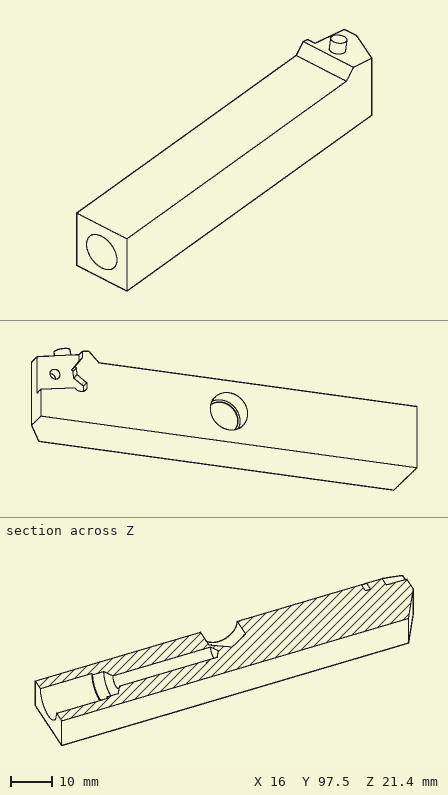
import cadquery as cq
import math

LENGTH = 97.5
SHANK = 16.0
MID = SHANK / 2

TILT = 10.0
TIP_HEIGHT = 16.5
CREST_SETBACK = 12.4
CREST_HEIGHT = TIP_HEIGHT + CREST_SETBACK * math.tan(math.radians(TILT))
CUT_TOP = CREST_HEIGHT + 1.0
SHOULDER_SETBACK = CREST_SETBACK + CREST_HEIGHT - SHANK

TIP_WIDTH = 6.5
CORNER_ANGLE = 30.0
CORNER_SETBACK = (SHANK - TIP_WIDTH) * math.tan(math.radians(CORNER_ANGLE))

POCKET_DEPTH_TIP = 2.6
POCKET_DEPTH_REAR = 2.3
POCKET_REAR = 11.9
SEAT_TIP_HEIGHT = 7.0
SEAT_LENGTH = 8.8
SEAT_END_HEIGHT = SEAT_TIP_HEIGHT + SEAT_LENGTH * math.tan(math.radians(TILT))
RELIEF_SETBACK = 10.6
RELIEF_HEIGHT = 7.9
RELIEF_END_HEIGHT = 8.8
POCKET_TOP_SETBACK = 10.7
POCKET_WALL = [
    (POCKET_REAR, 10.3),
    (11.4, 10.6),
    (9.4, 12.1),
    (9.2, 13.7),
    (8.9, 14.1),
    (POCKET_TOP_SETBACK, 16.7),
    (POCKET_TOP_SETBACK, CUT_TOP),
]

PIN_SETBACK = 4.6
PIN_HEIGHT = 12.5
PIN_DIAMETER = 2.5
PIN_DEPTH = 2.9

SCREW_DIAMETER = 4.0
SCREW_SETBACK = 9.0
SCREW_HEIGHT = 3.0
SCREW_ROOT = 1.95

THREAD_DIAMETER = 9.7
DRILL_DIAMETER = 8.6
POINT_ANGLE = 118.0
SIDE_THREAD_DEPTH = 5.2
REAR_THREAD_DEPTH = 13.65
REAR_DRILL_DEPTH = 16.6
CHANNEL_DIAMETER = 3.9
CHANNEL_DEPTH = 43.9


def along_y(setback):
    """Y position at a distance behind the tip."""
    return LENGTH - setback


def point_length(diameter):
    """Height of the conical point left by a drill."""
    return diameter / 2 / math.tan(math.radians(POINT_ANGLE / 2))


def drilled_hole(start, direction, diameter, depth):
    """Cylinder of the given depth, ending in a drill point."""
    cylinder = cq.Solid.makeCylinder(diameter / 2, depth, start, direction)
    point = cq.Solid.makeCone(
        diameter / 2, 0, point_length(diameter), start + direction * depth, direction
    )
    return cq.Workplane(cylinder).union(cq.Workplane(point))


def make_body():
    profile = [
        (0, 0),
        (LENGTH, 0),
        (LENGTH, TIP_HEIGHT),
        (along_y(CREST_SETBACK), CREST_HEIGHT),
        (along_y(SHOULDER_SETBACK), SHANK),
        (0, SHANK),
    ]
    body = cq.Workplane("YZ").polyline(profile).close().extrude(SHANK)
    corner = [(TIP_WIDTH, LENGTH), (SHANK, LENGTH), (SHANK, along_y(CORNER_SETBACK))]
    corner_cut = cq.Workplane("XY").polyline(corner).close().extrude(CUT_TOP)
    return body.cut(corner_cut)


def make_pocket():
    """Pocket outline, limited in depth by a floor that gets shallower towards the rear."""
    outline = (
        cq.Workplane("YZ")
        .moveTo(LENGTH, SEAT_TIP_HEIGHT)
        .lineTo(along_y(SEAT_LENGTH), SEAT_END_HEIGHT)
        .threePointArc(
            (along_y(RELIEF_SETBACK), RELIEF_HEIGHT),
            (along_y(POCKET_REAR), RELIEF_END_HEIGHT),
        )
    )
    for setback, height in POCKET_WALL:
        outline = outline.lineTo(along_y(setback), height)
    outline = outline.lineTo(LENGTH, CUT_TOP).close().extrude(POCKET_DEPTH_TIP)
    depth_limit = (
        cq.Workplane("XY")
        .moveTo(0, LENGTH)
        .lineTo(POCKET_DEPTH_TIP, LENGTH)
        .lineTo(POCKET_DEPTH_REAR, along_y(POCKET_REAR))
        .lineTo(0, along_y(POCKET_REAR))
        .close()
        .extrude(CUT_TOP)
    )
    return outline.intersect(depth_limit)


def make_pin_hole():
    start = cq.Vector(0, along_y(PIN_SETBACK), PIN_HEIGHT)
    return drilled_hole(start, cq.Vector(1, 0, 0), PIN_DIAMETER, POCKET_DEPTH_TIP + PIN_DEPTH)


def make_screw():
    tilt = math.radians(TILT)
    axis = cq.Vector(0, math.sin(tilt), math.cos(tilt))
    base = cq.Vector(MID, along_y(SCREW_SETBACK), TIP_HEIGHT + SCREW_SETBACK * math.tan(tilt))
    return cq.Solid.makeCylinder(
        SCREW_DIAMETER / 2, SCREW_ROOT + SCREW_HEIGHT, base - axis * SCREW_ROOT, axis
    )


def make_port(start, direction, thread_depth, drill_depth):
    thread = cq.Solid.makeCylinder(THREAD_DIAMETER / 2, thread_depth, start, direction)
    return drilled_hole(start, direction, DRILL_DIAMETER, drill_depth).union(cq.Workplane(thread))


side_port = make_port(
    cq.Vector(0, LENGTH / 2, MID),
    cq.Vector(1, 0, 0),
    SIDE_THREAD_DEPTH,
    MID - point_length(DRILL_DIAMETER),
)
rear_start = cq.Vector(MID, 0, MID)
rear_direction = cq.Vector(0, 1, 0)
rear_port = make_port(rear_start, rear_direction, REAR_THREAD_DEPTH, REAR_DRILL_DEPTH)
channel = drilled_hole(rear_start, rear_direction, CHANNEL_DIAMETER, CHANNEL_DEPTH)

result = make_body().cut(make_pocket()).cut(make_pin_hole()).union(cq.Workplane(make_screw()))
result = result.cut(side_port).cut(rear_port).cut(channel)